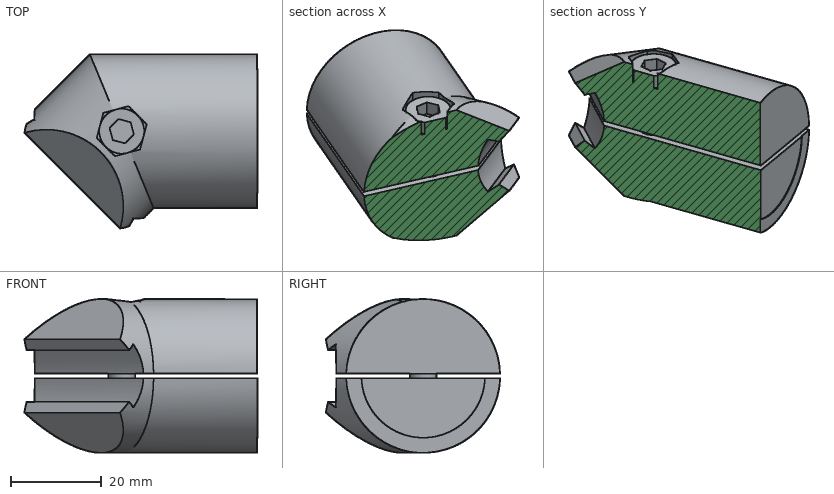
import cadquery as cq
import math

body_radius = 17.0
bend_angle = 45.0
rear_length = 29.9
front_length = 15.45
overrun = 51.5
clearance = 0.5

pad_radius = 13.65
pad_height = 0.135

slit_width = 1.05

mouth_half_height = 8.1
lip_tip = (13.7, 5.7)
undercut = (11.85, 6.95)
seat_depth = 10.2

flat_angle = 45.0

screw_radius = 3.0
head_top = 15.6
pocket_radius = 5.7
head_radius = pocket_radius * math.cos(math.pi / 6)
head_height = 3.1
pocket_turn = 15.0
socket_radius = 2.8
socket_turn = 45.0
socket_depth = 3.1


def place_on_front_arm(shape):
    """Turn a shape built along +X so that it lies along the front arm."""
    return shape.rotate((0, 0, 0), (0, 0, 1), 180 + bend_angle)


def bar(length):
    """Round bar along X, long enough behind the origin to be mitred."""
    return cq.Workplane("YZ").workplane(offset=-overrun).circle(body_radius).extrude(overrun + length)


def hexagon(radius, turn, bottom, top):
    """Vertical hexagonal prism on the screw axis."""
    prism = cq.Workplane("XY").workplane(offset=bottom).polygon(6, 2 * radius).extrude(top - bottom)
    return prism.rotate((0, 0, 0), (0, 0, 1), turn)


def make_body():
    """Both arms, each trimmed at the plane that halves the bend."""
    rear_side = (
        cq.Workplane("XY")
        .box(2 * overrun, 4 * overrun, 4 * overrun, centered=(False, True, True))
        .rotate((0, 0, 0), (0, 0, 1), bend_angle / 2)
    )
    rear_arm = bar(rear_length).intersect(rear_side)
    front_arm = place_on_front_arm(bar(front_length)).cut(rear_side)
    return rear_arm.union(front_arm)


def make_cross_groove():
    """Groove with an arched seat, undercut corners and flared lips."""
    flare_slope = (mouth_half_height - lip_tip[1]) / (front_length - lip_tip[0])
    outer_end = front_length + clearance
    outer_height = mouth_half_height + clearance * flare_slope
    groove = (
        cq.Workplane("XZ")
        .moveTo(outer_end, -outer_height)
        .lineTo(lip_tip[0], -lip_tip[1])
        .lineTo(undercut[0], -undercut[1])
        .threePointArc((seat_depth, 0), undercut)
        .lineTo(*lip_tip)
        .lineTo(outer_end, outer_height)
        .close()
        .extrude(overrun, both=True)
    )
    return place_on_front_arm(groove)


def make_flat_cutters():
    """Wedges beyond the two sloping flats that run back from the groove edges."""
    rise = overrun * math.tan(math.radians(flat_angle))
    wedge = (
        cq.Workplane("XZ")
        .moveTo(front_length, mouth_half_height)
        .lineTo(front_length - overrun, mouth_half_height + rise)
        .lineTo(front_length, mouth_half_height + rise)
        .close()
        .extrude(overrun, both=True)
    )
    return place_on_front_arm(wedge.union(wedge.mirror("XY")))


def make_rear_pad():
    """Half disc standing on the rear end below the mid-plane."""
    pad = cq.Workplane("YZ").workplane(offset=rear_length).circle(pad_radius).extrude(pad_height)
    lower_half = cq.Workplane("XY").box(2 * overrun, overrun, overrun).translate((0, 0, -overrun / 2))
    return pad.intersect(lower_half)


def make_slit():
    return cq.Workplane("XY").box(4 * overrun, 4 * overrun, slit_width)


def make_screw():
    """Socket-head screw bridging the slit; the shank joins both jaws."""
    head_bottom = head_top - head_height
    shank = cq.Workplane("XY").circle(screw_radius).extrude(head_bottom, both=True)
    head = cq.Workplane("XY").workplane(offset=head_bottom).circle(head_radius).extrude(head_height)
    socket = hexagon(socket_radius, socket_turn, head_top - socket_depth, head_top)
    return shank.union(head).cut(socket)


pocket = hexagon(pocket_radius, pocket_turn, head_top - head_height, body_radius + clearance)

jaws = make_body().union(make_rear_pad())
for cutter in (make_cross_groove(), make_flat_cutters(), make_slit(), pocket):
    jaws = jaws.cut(cutter)

result = jaws.union(make_screw())